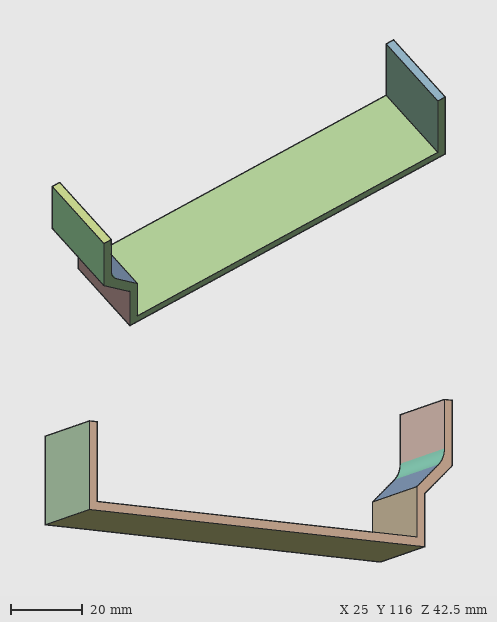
import cadquery as cq

width = 25.0
length = 116.0
height = 42.5

thickness = 2.5
back_wall_height = 25.2

jog = 8.8
outer_bend_height = 15.1
inner_bend_height = 16.8
bend_radius = 6.7

back_y = length / 2
upper_front_y = -length / 2
lower_front_y = upper_front_y + jog

outline = [
    (back_y, 0),
    (lower_front_y, 0),
    (lower_front_y, outer_bend_height),
    (upper_front_y, outer_bend_height + jog),
    (upper_front_y, height),
    (upper_front_y + thickness, height),
    (upper_front_y + thickness, inner_bend_height + jog),
    (lower_front_y + thickness, inner_bend_height),
    (lower_front_y + thickness, thickness),
    (back_y - thickness, thickness),
    (back_y - thickness, back_wall_height),
    (back_y, back_wall_height),
]
strip = cq.Workplane("YZ").polyline(outline).close().extrude(width / 2, both=True)

inner_bend_point = (0, upper_front_y + thickness, inner_bend_height + jog)
result = strip.edges(cq.selectors.NearestToPointSelector(inner_bend_point)).fillet(bend_radius)